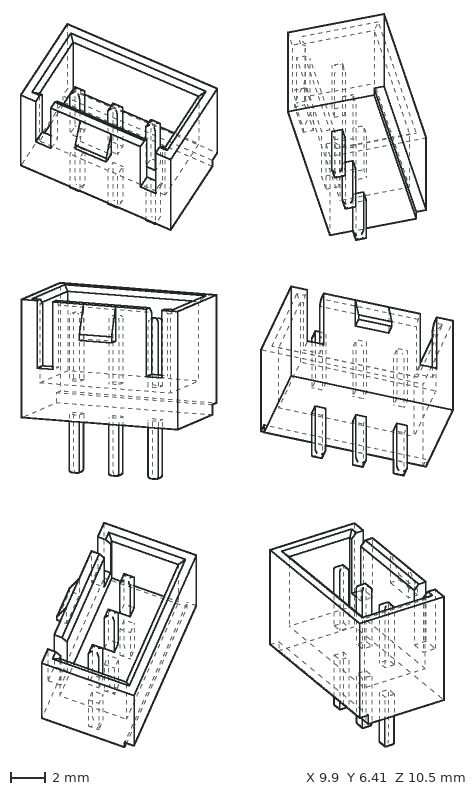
import cadquery as cq

body_width = 9.9
body_depth = 5.8
body_height = 7.0
rear_step = 0.6

wall = 0.81
mouth_bevel = 0.32
floor_thickness = 2.0

slot_width = 1.0
slot_depth = 4.0
slot_offset = 3.45

latch_width = 2.04
latch_height = 2.04
latch_ramp_height = 1.68
latch_reach = 0.61

pin_count = 3
pin_pitch = 2.5
pin_size = 0.64
pin_y = 2.42
pin_tail = 3.5
pin_top_recess = 1.0
pin_rounding = 0.2


def make_housing():
    """Solid block with a full-width step along its lower rear edge."""
    block = cq.Workplane("XY").box(
        body_width, body_depth, body_height, centered=(True, False, False)
    )
    step = (
        cq.Workplane("XY")
        .box(body_width, rear_step, rear_step, centered=(True, False, False))
        .translate((0, body_depth - rear_step, 0))
    )
    return block.cut(step)


def make_cavity():
    """Rectangular pocket that widens evenly on all sides at the rim."""
    inner_width = body_width - 2 * wall
    inner_depth = body_depth - 2 * wall
    pocket = (
        cq.Workplane("XY", origin=(0, body_depth / 2, floor_thickness))
        .rect(inner_width, inner_depth)
        .extrude(body_height - floor_thickness)
    )
    mouth = (
        cq.Workplane("XY", origin=(0, body_depth / 2, body_height - mouth_bevel))
        .rect(inner_width, inner_depth)
        .workplane(offset=mouth_bevel)
        .rect(inner_width + 2 * mouth_bevel, inner_depth + 2 * mouth_bevel)
        .loft(ruled=True)
    )
    return pocket.union(mouth)


def make_slot(x):
    """Slot open at the rim, as deep in Y as the front wall."""
    return (
        cq.Workplane("XY")
        .box(slot_width, wall, slot_depth, centered=(True, False, False))
        .translate((x, 0, body_height - slot_depth))
    )


def make_latch():
    """Ramp sloping outward from the rim to a short vertical lip."""
    return (
        cq.Workplane("YZ", origin=(-latch_width / 2, 0, 0))
        .moveTo(0, body_height)
        .lineTo(-latch_reach, body_height - latch_ramp_height)
        .lineTo(-latch_reach, body_height - latch_height)
        .lineTo(0, body_height - latch_height)
        .close()
        .extrude(latch_width)
    )


def make_pin(x):
    """Square pin through the floor, with both ends rounded over."""
    length = pin_tail + body_height - pin_top_recess
    return (
        cq.Workplane("XY")
        .box(pin_size, pin_size, length, centered=(True, True, False))
        .faces("<Z or >Z")
        .edges()
        .fillet(pin_rounding)
        .translate((x, pin_y, -pin_tail))
    )


result = make_housing().cut(make_cavity())
for side in (-1, 1):
    result = result.cut(make_slot(side * slot_offset))
result = result.union(make_latch())
for index in range(pin_count):
    result = result.union(make_pin((index - (pin_count - 1) / 2) * pin_pitch))